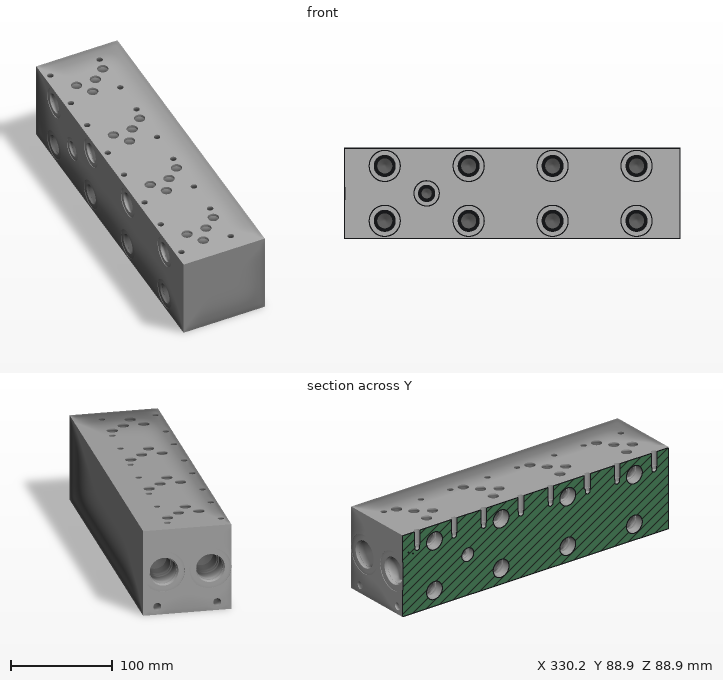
import cadquery as cq
import math

LENGTH = 330.2
WIDTH = 88.9
HEIGHT = 88.9

STATION_COUNT = 4
STATION_PITCH = 82.55
FIRST_SCREW_X = -146.7
SCREW_ROW_Y = 16.0

SCREW_SPACING_X = 46.0
SCREW_SPACING_Y = 54.0
VALVE_PORT_OFFSETS = [(13.5, -3.2), (24.6, -16.7), (39.7, -27.0), (24.6, -37.3)]
VALVE_PORT_DIAMETER = 11.12
VALVE_PORT_DEPTH = 2.7

WORK_PORT_OFFSET_X = 21.3
WORK_PORT_Z = 27.0

GAUGE_PORT_X = -84.2

MAIN_PORT_Y = 23.4

MOUNT_HOLE_Y = 30.2
MOUNT_HOLE_Z = -36.1

SPOTFACE_DEPTH = 0.5
DRILL_POINT_ANGLE = 118.0

WORK_PORT = dict(
    spotface=30.63, seat=20.6, seat_end=19.25, seat_depth=2.8,
    thread=19.05, thread_depth=16.0, tap=17.5, tap_depth=19.0,
    drill=15.88, drill_depth=30.0,
)
GAUGE_PORT = dict(
    spotface=24.92, seat=15.88, seat_end=14.4, seat_depth=2.8,
    thread=14.29, thread_depth=13.0, tap=12.9, tap_depth=15.0,
    drill=11.12, drill_depth=25.0,
)
MAIN_PORT = dict(
    spotface=42.04, seat=29.2, seat_end=27.43, seat_depth=3.8,
    thread=26.99, thread_depth=21.0, tap=24.92, tap_depth=24.0,
    drill=23.01, drill_depth=40.0,
)

VALVE_SCREW = dict(thread=6.35, thread_depth=16.0, drill=5.11, drill_depth=20.0)
MOUNT_SCREW = dict(thread=7.92, thread_depth=16.0, drill=6.53, drill_depth=20.0)


def drill_tip_length(diameter):
    return diameter / 2 / math.tan(math.radians(DRILL_POINT_ANGLE / 2))


def revolved_cutter(steps):
    """Tool about Z going down from z = 0; steps are (diameter, depth), closed by a drill tip."""
    profile = cq.Workplane("XZ").moveTo(0, 0)
    for diameter, depth in steps:
        profile = profile.lineTo(diameter / 2, -depth)
    last_diameter, last_depth = steps[-1]
    profile = profile.lineTo(0, -last_depth - drill_tip_length(last_diameter))
    return profile.close().revolve(360, (0, 0, 0), (0, 1, 0)).val()


def threaded_port(size):
    return revolved_cutter([
        (size["spotface"], 0),
        (size["spotface"], SPOTFACE_DEPTH),
        (size["seat"], SPOTFACE_DEPTH),
        (size["seat_end"], size["seat_depth"]),
        (size["thread"], size["seat_depth"]),
        (size["thread"], size["thread_depth"]),
        (size["tap"], size["thread_depth"]),
        (size["tap"], size["tap_depth"]),
        (size["drill"], size["tap_depth"]),
        (size["drill"], size["drill_depth"]),
    ])


def tapped_hole(size):
    return revolved_cutter([
        (size["thread"], 0),
        (size["thread"], size["thread_depth"]),
        (size["drill"], size["thread_depth"]),
        (size["drill"], size["drill_depth"]),
    ])


def plain_hole(diameter, depth):
    return revolved_cutter([(diameter, 0), (diameter, depth)])


def place_on_top(cutter, x, y):
    return cutter.moved(cq.Location(cq.Vector(x, y, HEIGHT / 2)))


def place_on_front(cutter, x, z):
    """Turn the tool to cut toward +Y from the -Y face."""
    turned = cutter.rotate(cq.Vector(0, 0, 0), cq.Vector(1, 0, 0), 90)
    return turned.moved(cq.Location(cq.Vector(x, -WIDTH / 2, z)))


def place_on_end(cutter, y, z):
    """Turn the tool to cut toward +X from the -X face."""
    turned = cutter.rotate(cq.Vector(0, 0, 0), cq.Vector(0, 1, 0), -90)
    return turned.moved(cq.Location(cq.Vector(-LENGTH / 2, y, z)))


def station_cutters(screw_x):
    cutters = []
    for x in (screw_x, screw_x + SCREW_SPACING_X):
        for y in (SCREW_ROW_Y, SCREW_ROW_Y - SCREW_SPACING_Y):
            cutters.append(place_on_top(tapped_hole(VALVE_SCREW), x, y))
    for offset_x, offset_y in VALVE_PORT_OFFSETS:
        port = plain_hole(VALVE_PORT_DIAMETER, VALVE_PORT_DEPTH)
        cutters.append(place_on_top(port, screw_x + offset_x, SCREW_ROW_Y + offset_y))
    for z in (-WORK_PORT_Z, WORK_PORT_Z):
        cutters.append(place_on_front(threaded_port(WORK_PORT), screw_x + WORK_PORT_OFFSET_X, z))
    return cutters


def end_face_cutters():
    cutters = []
    for side in (-1, 1):
        cutters.append(place_on_end(threaded_port(MAIN_PORT), side * MAIN_PORT_Y, 0))
        cutters.append(place_on_end(tapped_hole(MOUNT_SCREW), side * MOUNT_HOLE_Y, MOUNT_HOLE_Z))
    return cutters


block = cq.Workplane("XY").box(LENGTH, WIDTH, HEIGHT)

all_cutters = [place_on_front(threaded_port(GAUGE_PORT), GAUGE_PORT_X, 0)]
all_cutters += end_face_cutters()
for station in range(STATION_COUNT):
    all_cutters += station_cutters(FIRST_SCREW_X + station * STATION_PITCH)

result = cq.Workplane("XY").newObject([block.val().cut(*all_cutters)])